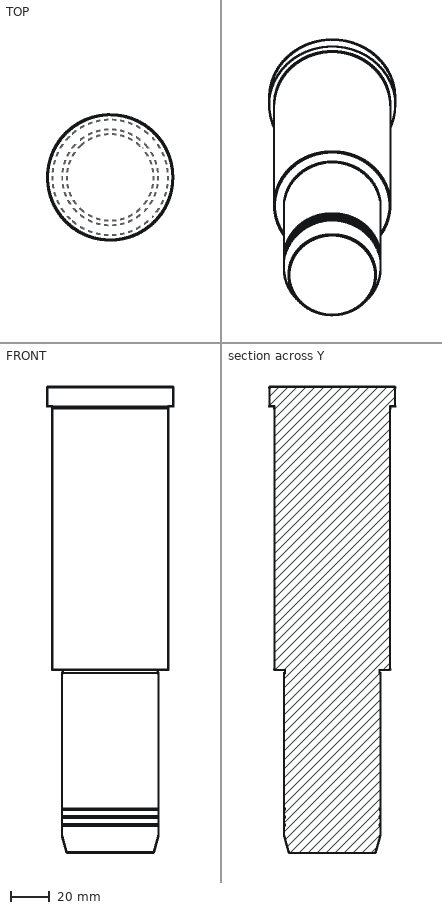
import cadquery as cq

total_length = 240.0
head_radius = 65.0 / 2
body_radius = 60.0 / 2
pin_radius = 50.0 / 2

head_thickness = 10.0
head_bottom = total_length - head_thickness
body_bottom = 94.0
head_chamfer = 0.5
body_chamfer = 0.5

head_relief_width = 1.2
head_relief_depth = 0.2
pin_relief_width = 1.5
pin_relief_depth = 0.5

lead_in_height = 9.0
tip_radius = 22.5
tip_chamfer = 0.5

groove_count = 3
groove_width = 1.0
groove_depth = 0.5
groove_pitch = 4.0
lowest_groove = 14.0


def revolved(points):
    """Solid of revolution about Z from (radius, height) points."""
    return cq.Workplane("XZ").polyline(points).close().revolve(360, (0, 0, 0), (0, 1, 0))


def v_groove(outer_radius, bottom, width, depth):
    """Triangular ring cutter for a V-shaped groove, open outwards."""
    return revolved([
        (outer_radius, bottom),
        (outer_radius - depth, bottom + width / 2),
        (outer_radius, bottom + width),
    ])


pillar = revolved([
    (0, 0),
    (tip_radius - tip_chamfer, 0),
    (tip_radius, tip_chamfer),
    (pin_radius, lead_in_height),
    (pin_radius, body_bottom - pin_relief_width),
    (pin_radius - pin_relief_depth, body_bottom - pin_relief_width),
    (pin_radius - pin_relief_depth, body_bottom),
    (body_radius - body_chamfer, body_bottom),
    (body_radius, body_bottom + body_chamfer),
    (body_radius, head_bottom),
    (head_radius, head_bottom),
    (head_radius, total_length - head_chamfer),
    (head_radius - head_chamfer, total_length),
    (0, total_length),
])

head_relief_bottom = head_bottom - head_relief_width
result = pillar.cut(v_groove(body_radius, head_relief_bottom, head_relief_width, head_relief_depth))

for index in range(groove_count):
    groove_bottom = lowest_groove + index * groove_pitch
    result = result.cut(v_groove(pin_radius, groove_bottom, groove_width, groove_depth))